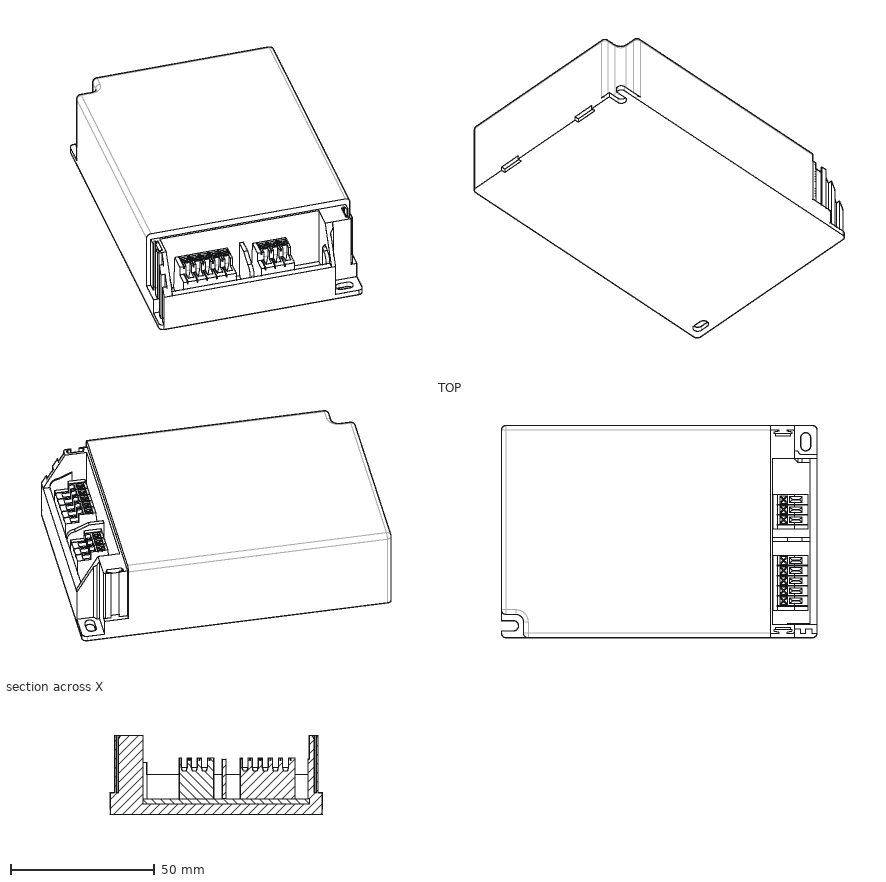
import cadquery as cq

LENGTH = 110.0
WIDTH = 74.0
HEIGHT = 30.0
MAIN_LENGTH = 93.7
EDGE_RADIUS = 1.6
FLANGE_THICKNESS = 2.0

POCKET_X = 7.7
POCKET_Y = 8.1
POCKET_RADIUS = 2.6
OPEN_SLOT_Y = 4.2
OPEN_SLOT_WIDTH = 3.5
OPEN_SLOT_END = 5.9

NOTCH_WIDTH = 8.1
NOTCH_HEIGHT = 1.5
NOTCH_DEPTH = 1.5
NOTCH_STARTS = [14.7, 51.3]

CHEEK_TOP = 27.6
SLOPE_START_X = 102.2
SLOPE_END_Z = 14.1
SIDE_INSET = 1.5
SIDE_LEDGE_Z = 7.7
CHEEK_CHAMFER = 0.5

RECESS_START_X = 94.5
RECESS_END_X = 107.6
RECESS_START_Y = 4.6
RECESS_END_Y = 62.5
END_WALL_TOP = SLOPE_END_Z

GROOVE_CENTER_X = 98.1
GROOVE_MOUTH = 2.9
GROOVE_WIDTH = 6.2
GROOVE_LIP = 0.8
GROOVE_DEPTH = 2.1
GROOVE_BEVEL_Y = 0.8
GROOVE_BEVEL_Z = 1.2

COMB_SPANS = [(SLOPE_START_X, 104.3), (106.0, 108.2)]
COMB_DEPTH = 1.5

TAB_DEPTH = 10.1
TAB_CORNER_X = 1.9
TAB_CORNER_Y = 1.2
TAB_CORNER_FLAT = 1.0
TAB_SLOT_X = 106.0
TAB_SLOT_Y = 68.3
TAB_SLOT_LENGTH = 6.3
TAB_SLOT_WIDTH = 3.4

RIB_FLAT_END_X = 99.8
RIB_SLOPE_END_X = 104.7
RIB_TOP = 19.8
RIB_SLOPE_DROP = 2.2
FAR_RIB_START_X = 103.3
FAR_RIB_START_Y = 61.2
RIBS = [
    (RIB_FLAT_END_X, RECESS_START_Y, 5.1),
    (RECESS_START_X, 33.5, 35.0),
    (FAR_RIB_START_X, FAR_RIB_START_Y, RECESS_END_Y),
]

BOARD_TOP = 5.5
BOARD_THICKNESS = 1.6

TERMINAL_PITCH = 3.5
TERMINAL_END_PLATE = 1.5
TERMINAL_START_X = 94.7
TERMINAL_RIDGE_X = 96.1
TERMINAL_STEP_X = 102.2
TERMINAL_END_X = 106.9
TERMINAL_TOP = 19.8
TERMINAL_STEP_TOP = 16.5
TERMINALS = [(9.6, 5), (37.8, 3)]
WAY_GAP = 0.2
WAY_GAP_DEPTH = 0.9
BUTTON_X = 98.3
BUTTON_SIZE = 2.6
BUTTON_DEPTH = 0.7
BUTTON_CROSS_WIDTH = 0.3
BUTTON_CROSS_LENGTH = 2.6
ENTRY_START_X = 100.4
ENTRY_END_X = 104.8
ENTRY_WIDTH = 2.0
ENTRY_FUNNEL_ANGLE = 15
ENTRY_DEPTH = 3.3


def block(x0, x1, y0, y1, z0, z1):
    """Box between two corners."""
    return cq.Workplane("XY").box(x1 - x0, y1 - y0, z1 - z0, centered=False).translate((x0, y0, z0))


def side_profile(points, y0, y1):
    """Outline in X and Z, extruded from y0 to y1."""
    return cq.Workplane("XZ", origin=(0, y0, 0)).polyline(points).close().extrude(y0 - y1)


def mirror_side(shape):
    """Copy of a shape on the opposite side of the case."""
    return shape.mirror("XZ", (0, WIDTH / 2, 0))


def main_block():
    """Full-height part of the case with rounded edges and its corner pocket."""
    body = (
        cq.Workplane("XY")
        .moveTo(POCKET_X, 0)
        .lineTo(MAIN_LENGTH, 0)
        .lineTo(MAIN_LENGTH, WIDTH)
        .lineTo(0, WIDTH)
        .lineTo(0, POCKET_Y)
        .lineTo(POCKET_X, POCKET_Y)
        .close()
        .extrude(HEIGHT)
    )
    pocket_corner = cq.selectors.NearestToPointSelector((POCKET_X, POCKET_Y, HEIGHT / 2))
    body = body.edges(pocket_corner).fillet(POCKET_RADIUS)
    for corner in [(0, WIDTH), (0, POCKET_Y), (POCKET_X, 0)]:
        outer_corner = cq.selectors.NearestToPointSelector((*corner, HEIGHT / 2))
        body = body.edges(outer_corner).fillet(EDGE_RADIUS)
    return body.faces(">Z").edges("not >X").fillet(EDGE_RADIUS)


def flange():
    """Thin rounded plate under the whole case."""
    return block(0, LENGTH, 0, WIDTH, 0, FLANGE_THICKNESS).edges("|Z").fillet(EDGE_RADIUS)


def cheek_end():
    """Terminal end, sloping down to the end wall and set in at both sides."""
    lower = block(MAIN_LENGTH, SLOPE_START_X, 0, WIDTH, 0, SIDE_LEDGE_Z)
    outline = [
        (MAIN_LENGTH, 0),
        (LENGTH, 0),
        (LENGTH, SLOPE_END_Z),
        (SLOPE_START_X, CHEEK_TOP),
        (MAIN_LENGTH, CHEEK_TOP),
    ]
    upper = side_profile(outline, SIDE_INSET, WIDTH - SIDE_INSET)
    return upper.union(lower)


def dovetail_groove():
    """Cutter for the groove in the front cheek, with a bevel at the top of its back wall."""
    back_y = SIDE_INSET + GROOVE_DEPTH
    height = CHEEK_TOP - SIDE_LEDGE_Z
    mouth = GROOVE_MOUTH / 2
    wide = GROOVE_WIDTH / 2
    outline = [
        (-mouth, SIDE_INSET),
        (mouth, SIDE_INSET),
        (mouth, SIDE_INSET + GROOVE_LIP / 2),
        (wide, SIDE_INSET + GROOVE_LIP),
        (wide, back_y - GROOVE_BEVEL_Y),
        (-wide, back_y - GROOVE_BEVEL_Y),
        (-wide, SIDE_INSET + GROOVE_LIP),
        (-mouth, SIDE_INSET + GROOVE_LIP / 2),
    ]
    floor_plane = cq.Workplane("XY", origin=(GROOVE_CENTER_X, 0, SIDE_LEDGE_Z))
    slot = floor_plane.polyline(outline).close().extrude(height)
    bevel = (
        cq.Workplane("YZ", origin=(GROOVE_CENTER_X - wide + GROOVE_LIP / 2, 0, 0))
        .moveTo(back_y - GROOVE_BEVEL_Y, CHEEK_TOP - GROOVE_BEVEL_Z)
        .lineTo(back_y, CHEEK_TOP)
        .lineTo(back_y - GROOVE_BEVEL_Y, CHEEK_TOP)
        .close()
        .extrude(GROOVE_WIDTH - GROOVE_LIP)
    )
    return slot.union(bevel)


def cheek_corner():
    """Cutter that bevels the upright corner of the front cheek beside its slope."""
    return (
        cq.Workplane("XY", origin=(0, 0, SIDE_LEDGE_Z))
        .moveTo(SLOPE_START_X - CHEEK_CHAMFER, SIDE_INSET)
        .lineTo(SLOPE_START_X, SIDE_INSET)
        .lineTo(SLOPE_START_X, SIDE_INSET + CHEEK_CHAMFER)
        .close()
        .extrude(CHEEK_TOP - SIDE_LEDGE_Z)
    )


def comb_grooves():
    """Cutters for the upright grooves in the sloped part of the front cheek."""
    back_y = SIDE_INSET + COMB_DEPTH
    cutters = cq.Workplane("XY")
    for x0, x1 in COMB_SPANS:
        cutters = cutters.add(block(x0, x1, 0, back_y, FLANGE_THICKNESS, CHEEK_TOP))
    return cutters.combine()


def tab_pocket():
    """Cutter that leaves the mounting tab in the far corner."""
    inner_y = WIDTH - TAB_DEPTH
    return (
        cq.Workplane("XY", origin=(0, 0, FLANGE_THICKNESS))
        .moveTo(SLOPE_START_X, WIDTH)
        .lineTo(SLOPE_START_X, inner_y + TAB_CORNER_Y)
        .lineTo(SLOPE_START_X + TAB_CORNER_FLAT, inner_y + TAB_CORNER_Y)
        .lineTo(SLOPE_START_X + TAB_CORNER_X, inner_y)
        .lineTo(LENGTH, inner_y)
        .lineTo(LENGTH, WIDTH)
        .close()
        .extrude(CHEEK_TOP - FLANGE_THICKNESS)
    )


def tab_slot():
    """Cutter for the closed mounting slot."""
    return (
        cq.Workplane("XY")
        .center(TAB_SLOT_X, TAB_SLOT_Y)
        .slot2D(TAB_SLOT_LENGTH, TAB_SLOT_WIDTH, 90)
        .extrude(FLANGE_THICKNESS)
    )


def open_slot():
    """Cutter for the open-ended mounting slot."""
    radius = OPEN_SLOT_WIDTH / 2
    center_x = OPEN_SLOT_END - radius
    straight = block(0, center_x, OPEN_SLOT_Y - radius, OPEN_SLOT_Y + radius, 0, FLANGE_THICKNESS)
    end = cq.Workplane("XY").center(center_x, OPEN_SLOT_Y).circle(radius).extrude(FLANGE_THICKNESS)
    return straight.union(end)


def recess():
    """Cutter for the recess down to the underside of the board, and for the space above the end wall."""
    well = block(
        RECESS_START_X, RECESS_END_X, RECESS_START_Y, RECESS_END_Y, BOARD_TOP - BOARD_THICKNESS, CHEEK_TOP
    )
    above_wall = block(RECESS_END_X, LENGTH, RECESS_START_Y, RECESS_END_Y, END_WALL_TOP, CHEEK_TOP)
    return well.union(above_wall)


def rib_height(x):
    """Height of the rib's straight top above the case bottom."""
    slope = RIB_SLOPE_DROP / (RIB_SLOPE_END_X - RIB_FLAT_END_X)
    return RIB_TOP - slope * max(0, x - RIB_FLAT_END_X)


def far_rib_gusset():
    """Triangular lead-in from the recess wall to the start of the far rib."""
    return (
        cq.Workplane("XY", origin=(0, 0, BOARD_TOP))
        .moveTo(FAR_RIB_START_X, FAR_RIB_START_Y)
        .lineTo(FAR_RIB_START_X, RECESS_END_Y)
        .lineTo(FAR_RIB_START_X - (RECESS_END_Y - FAR_RIB_START_Y), RECESS_END_Y)
        .close()
        .extrude(rib_height(FAR_RIB_START_X) - BOARD_TOP)
    )


def rib(start_x, y0, y1):
    """Rib standing above the board: flat, then sloped, then rounded down to the end wall."""
    slope_end_z = rib_height(RIB_SLOPE_END_X)
    nose = RECESS_END_X - RIB_SLOPE_END_X
    outline = cq.Workplane("XZ", origin=(0, y0, 0)).moveTo(start_x, BOARD_TOP)
    outline = outline.lineTo(start_x, rib_height(start_x))
    if start_x < RIB_FLAT_END_X:
        outline = outline.lineTo(RIB_FLAT_END_X, RIB_TOP)
    return (
        outline.lineTo(RIB_SLOPE_END_X, slope_end_z)
        .radiusArc((RECESS_END_X, slope_end_z - nose), nose)
        .lineTo(RECESS_END_X, BOARD_TOP)
        .close()
        .extrude(y0 - y1)
    )


def make_housing():
    """Case with its mounting corners, cheeks and terminal recess."""
    body = main_block().union(flange()).union(cheek_end())
    body = body.cut(open_slot()).cut(tab_pocket()).cut(tab_slot()).cut(recess())
    body = body.cut(comb_grooves())
    for cutter in [dovetail_groove(), cheek_corner()]:
        body = body.cut(cutter).cut(mirror_side(cutter))
    for y in NOTCH_STARTS:
        body = body.cut(block(0, NOTCH_DEPTH, y, y + NOTCH_WIDTH, 0, NOTCH_HEIGHT))
    for start_x, y0, y1 in RIBS:
        body = body.union(rib(start_x, y0, y1))
    return body.union(far_rib_gusset())


def make_board():
    """Board lying on the bottom of the recess."""
    return block(
        RECESS_START_X, RECESS_END_X, RECESS_START_Y, RECESS_END_Y, BOARD_TOP - BOARD_THICKNESS, BOARD_TOP
    )


def terminal_way(y0):
    """Cutters for one way: release recess with a cross, wire funnel and the gap before the way."""
    center_y = y0 + TERMINAL_PITCH / 2
    button = (
        cq.Workplane("XY", origin=(BUTTON_X, center_y, TERMINAL_TOP))
        .rect(BUTTON_SIZE, BUTTON_SIZE)
        .extrude(-BUTTON_DEPTH)
    )
    for angle in (45, -45):
        cross_bar = (
            cq.Workplane("XY", origin=(BUTTON_X, center_y, TERMINAL_TOP))
            .transformed(rotate=(0, 0, angle))
            .rect(BUTTON_CROSS_LENGTH, BUTTON_CROSS_WIDTH)
            .extrude(-2 * BUTTON_DEPTH)
        )
        button = button.union(cross_bar)
    entry_length = ENTRY_END_X - ENTRY_START_X
    entry_center_x = (ENTRY_START_X + ENTRY_END_X) / 2
    entry = (
        cq.Workplane("XY", origin=(entry_center_x, center_y, TERMINAL_STEP_TOP))
        .rect(entry_length, ENTRY_WIDTH)
        .extrude(-ENTRY_DEPTH, taper=ENTRY_FUNNEL_ANGLE)
        .faces(">Z")
        .workplane()
        .rect(entry_length, ENTRY_WIDTH)
        .extrude(TERMINAL_TOP - TERMINAL_STEP_TOP)
    )
    gap_y0 = y0 - WAY_GAP / 2
    gap_y1 = y0 + WAY_GAP / 2
    rear_gap = block(
        TERMINAL_START_X, TERMINAL_STEP_X, gap_y0, gap_y1, TERMINAL_TOP - WAY_GAP_DEPTH, TERMINAL_TOP
    )
    front_gap = block(
        TERMINAL_STEP_X, TERMINAL_END_X, gap_y0, gap_y1, TERMINAL_STEP_TOP - WAY_GAP_DEPTH, TERMINAL_STEP_TOP
    )
    return [button, entry, rear_gap, front_gap]


def make_terminal(start_y, ways):
    """Stepped terminal block standing on the board, with an end plate before the first way."""
    outline = [
        (TERMINAL_START_X, BOARD_TOP),
        (TERMINAL_END_X, BOARD_TOP),
        (TERMINAL_END_X, TERMINAL_STEP_TOP),
        (TERMINAL_STEP_X, TERMINAL_STEP_TOP),
        (TERMINAL_STEP_X, TERMINAL_TOP),
        (TERMINAL_RIDGE_X, TERMINAL_TOP),
    ]
    first_way_y = start_y + TERMINAL_END_PLATE
    body = side_profile(outline, start_y, first_way_y + ways * TERMINAL_PITCH)
    for way in range(ways):
        for cutter in terminal_way(first_way_y + way * TERMINAL_PITCH):
            body = body.cut(cutter)
    return body


housing = make_housing()
board = make_board()
terminals = [make_terminal(start_y, ways) for start_y, ways in TERMINALS]

result = cq.Compound.makeCompound([housing.val(), board.val(), *[t.val() for t in terminals]])